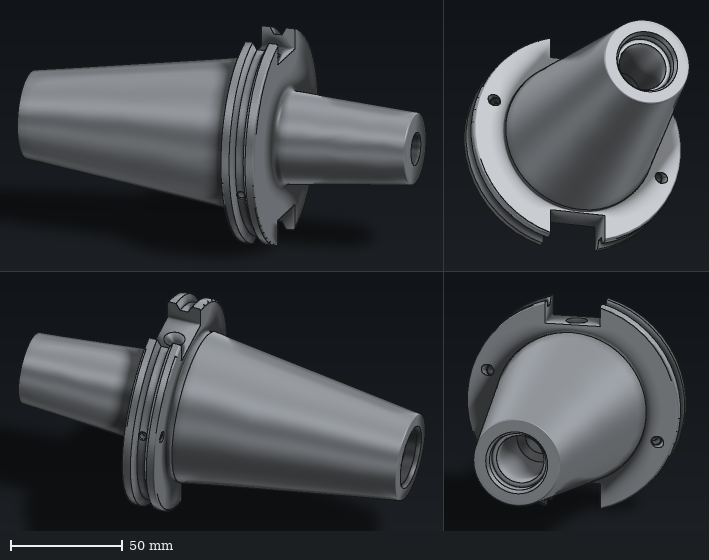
import math

import cadquery as cq

gauge_diameter = 69.85
taper_ratio = 7 / 24
shank_length = 101.6
small_end_diameter = gauge_diameter - taper_ratio * shank_length
small_end_rounding = 0.8

neck_diameter = 69.25
neck_start_x = 1.2
neck_root_fillet = 0.5

flange_diameter = 98.1
flange_start_x = 3.175
flange_end_x = 19.05
flange_rounding = 1.0
groove_bottom_diameter = 91.4
groove_bottom_width = 3.7
groove_centre_x = 11.05
groove_wall_angle = math.radians(30)

projection = 80.0
nose_root_diameter = 42.0
nose_tip_diameter = 33.0
nose_half_angle = math.radians(4.5)
nose_root_fillet = 3.0
nose_tip_rounding = 1.0

entry_diameter = 28.7
entry_chamfer_depth = 2.0
counterbore_diameter = 26.2
counterbore_depth = 6.8
drawbar_bore_diameter = 21.97
drawbar_bore_depth = 45.0
through_bore_diameter = 14.92
drill_half_angle = math.radians(60)

slot_width = 25.65
upper_slot_floor_z = 37.72
lower_slot_floor_z = -35.31
slot_corner_radius = 0.5
dimple_diameter = 9.53

coolant_position_angle = 20.0
face_counterbore_diameter = 5.0
face_counterbore_depth = 2.3
face_drilling_diameter = 4.13
face_drilling_depth = 6.6
face_drilling_radius = 41.9
face_drilling_tilt = math.radians(30)
groove_drilling_diameter = 3.24
groove_countersink_diameter = 4.2
groove_drilling_floor_radius = 41.2


def round_circle(solid, x, diameter, rounding):
    """Fillet the circular edge of the given diameter that lies in the plane at x."""
    tolerance = 0.01

    def is_wanted(edge):
        if edge.geomType() != "CIRCLE":
            return False
        same_plane = abs(edge.Center().x - x) < tolerance
        same_radius = abs(edge.radius() - diameter / 2) < tolerance
        return same_plane and same_radius

    return solid.edges().filter(is_wanted).fillet(rounding)


def make_body():
    """Revolve the outer profile about the X axis."""
    flange_radius = flange_diameter / 2
    groove_radius = groove_bottom_diameter / 2
    groove_half_bottom = groove_bottom_width / 2
    groove_half_top = groove_half_bottom + (flange_radius - groove_radius) * math.tan(groove_wall_angle)
    nose_root_radius = nose_root_diameter / 2
    nose_tip_radius = nose_tip_diameter / 2
    nose_cone_start_x = projection - (nose_root_radius - nose_tip_radius) / math.tan(nose_half_angle)

    profile = [
        (-shank_length, 0),
        (-shank_length, small_end_diameter / 2),
        (0, gauge_diameter / 2),
        (neck_start_x, neck_diameter / 2),
        (flange_start_x, neck_diameter / 2),
        (flange_start_x, flange_radius),
        (groove_centre_x - groove_half_top, flange_radius),
        (groove_centre_x - groove_half_bottom, groove_radius),
        (groove_centre_x + groove_half_bottom, groove_radius),
        (groove_centre_x + groove_half_top, flange_radius),
        (flange_end_x, flange_radius),
        (flange_end_x, nose_root_radius),
        (nose_cone_start_x, nose_root_radius),
        (projection, nose_tip_radius),
        (projection, 0),
    ]
    body = cq.Workplane("XY").polyline(profile).close().revolve(360, (0, 0, 0), (1, 0, 0))

    body = round_circle(body, -shank_length, small_end_diameter, small_end_rounding)
    body = round_circle(body, flange_start_x, neck_diameter, neck_root_fillet)
    body = round_circle(body, flange_start_x, flange_diameter, flange_rounding)
    body = round_circle(body, flange_end_x, flange_diameter, flange_rounding)
    body = round_circle(body, flange_end_x, nose_root_diameter, nose_root_fillet)
    return round_circle(body, projection, nose_tip_diameter, nose_tip_rounding)


def make_bore():
    """Stepped bore: chamfered counterbore, draw-bar bore with drill point, through bore."""
    counterbore_radius = counterbore_diameter / 2
    drawbar_radius = drawbar_bore_diameter / 2
    through_radius = through_bore_diameter / 2
    counterbore_floor_x = -shank_length + counterbore_depth
    drawbar_floor_x = -shank_length + drawbar_bore_depth
    drill_point_length = (drawbar_radius - through_radius) / math.tan(drill_half_angle)
    profile = [
        (-shank_length, 0),
        (-shank_length, entry_diameter / 2),
        (-shank_length + entry_chamfer_depth, counterbore_radius),
        (counterbore_floor_x, counterbore_radius),
        (counterbore_floor_x, drawbar_radius),
        (drawbar_floor_x, drawbar_radius),
        (drawbar_floor_x + drill_point_length, through_radius),
        (projection, through_radius),
        (projection, 0),
    ]
    return cq.Workplane("XY").polyline(profile).close().revolve(360, (0, 0, 0), (1, 0, 0))


def make_slot(floor_z):
    """Driving slot from floor_z outwards, with its floor corners rounded."""
    height = flange_diameter / 2
    outward = math.copysign(1, floor_z)
    slot = cq.Workplane("XY").box(flange_end_x - flange_start_x, slot_width, height)
    floor_edges = "|X and <Z" if outward > 0 else "|X and >Z"
    slot = slot.edges(floor_edges).fillet(slot_corner_radius)
    centre_x = (flange_start_x + flange_end_x) / 2
    return slot.translate((centre_x, 0, floor_z + outward * height / 2))


def make_dimple():
    """Conical dimple in the floor of the upper slot."""
    radius = dimple_diameter / 2
    depth = radius / math.tan(drill_half_angle)
    centre_x = (flange_start_x + flange_end_x) / 2
    rim_centre = cq.Vector(centre_x, 0, upper_slot_floor_z)
    cone = cq.Solid.makeCone(radius, 0, depth, rim_centre, cq.Vector(0, 0, -1))
    return cq.Workplane(cone)


def make_drilling(diameter, start, direction, length):
    """Blind drilling with a conical end, starting at a point and running along a direction."""
    radius = diameter / 2
    shaft = cq.Solid.makeCylinder(radius, length, start, direction)
    point_length = radius / math.tan(drill_half_angle)
    point = cq.Solid.makeCone(radius, 0, point_length, start + direction * length, direction)
    return cq.Workplane(shaft.fuse(point))


def make_coolant_drillings():
    """Stepped face drilling sloping towards the axis and a radial groove drilling, both along +Y."""
    slope = cq.Vector(math.cos(face_drilling_tilt), -math.sin(face_drilling_tilt), 0)
    mouth = cq.Vector(flange_start_x, face_drilling_radius, 0)
    lead = face_counterbore_diameter
    counterbore = cq.Solid.makeCylinder(
        face_counterbore_diameter / 2, lead + face_counterbore_depth, mouth - slope * lead, slope
    )
    face_drilling = make_drilling(face_drilling_diameter, mouth, slope, face_drilling_depth)

    inward = cq.Vector(0, -1, 0)
    groove_radius = groove_bottom_diameter / 2
    groove_mouth = cq.Vector(groove_centre_x, groove_radius, 0)
    groove_length = groove_radius - groove_drilling_floor_radius
    groove_drilling = make_drilling(groove_drilling_diameter, groove_mouth, inward, groove_length)
    countersink_depth = (groove_countersink_diameter - groove_drilling_diameter) / 2
    countersink = cq.Solid.makeCone(
        groove_countersink_diameter / 2, groove_drilling_diameter / 2, countersink_depth, groove_mouth, inward
    )
    return face_drilling.union(counterbore).union(groove_drilling).union(countersink)


result = make_body().cut(make_bore())
for floor_z in (upper_slot_floor_z, lower_slot_floor_z):
    result = result.cut(make_slot(floor_z))
result = result.cut(make_dimple())
coolant_drillings = make_coolant_drillings()
for turn in (0, 180):
    angle = coolant_position_angle + turn
    result = result.cut(coolant_drillings.rotate((0, 0, 0), (1, 0, 0), angle))